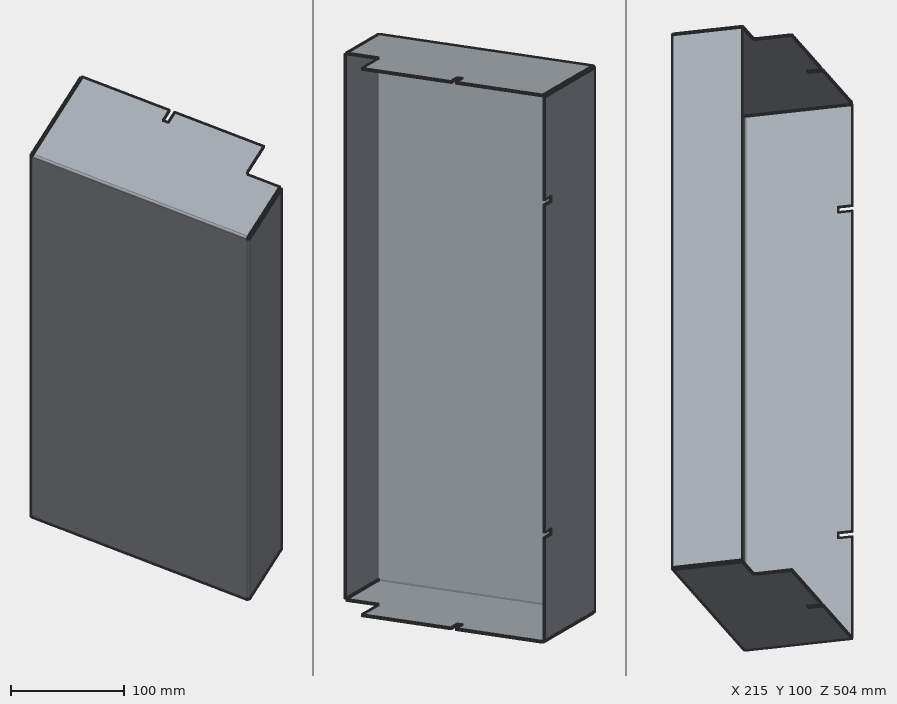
import cadquery as cq

width = 215.0
depth = 100.0
height = 504.0

thickness = 1.5
bend_radius = 2.0
inner_bend_radius = bend_radius - thickness
corner_setback = bend_radius

step_width = 35.0
step_depth = 35.0
step_corner_radius = 3.0

slot_width = 5.0
slot_depth = 13.0
end_slot_x = 90.0
side_slot_spacing = 306.0


def tray(span, length):
    """U-shaped tray along Z: a front panel with a rounded bend and a rear-facing wall on each side."""
    outer = cq.Workplane("XY").box(span, depth, length, centered=(True, False, True))
    outer = outer.edges("|Z and <Y").fillet(bend_radius)
    inner_span = span - 2 * thickness
    inner = cq.Workplane("XY").box(inner_span, depth - thickness, length, centered=(True, False, True))
    inner = inner.edges("|Z and <Y").fillet(inner_bend_radius)
    return outer.cut(inner.translate((0, thickness, 0)))


def folded_cover():
    """Front panel with left, right, top and bottom flanges that leave the corners open."""
    sides = tray(width, height - 2 * corner_setback)
    ends = tray(height, width - 2 * corner_setback).rotate((0, 0, 0), (0, 1, 0), 90)
    return sides.union(ends).translate((width / 2, 0, height / 2))


def step_cutter():
    """Full-height block for the back right step, its inner corner rounded."""
    block = cq.Workplane("XY").box(step_width, step_depth, height, centered=False)
    block = block.edges("|Z and <X and <Y").fillet(step_corner_radius)
    return block.translate((width - step_width, depth - step_depth, 0))


def end_slot_cutter():
    """Full-height cutter for the slots in the top and bottom flanges."""
    cutter = cq.Workplane("XY").box(slot_width, slot_depth, height, centered=(True, False, False))
    return cutter.translate((end_slot_x, depth - slot_depth, 0))


def side_slot_cutter(z):
    """Cutter through the left flange at height z."""
    cutter = cq.Workplane("XY").box(thickness, slot_depth, slot_width, centered=(False, False, True))
    return cutter.translate((0, depth - slot_depth, z))


result = folded_cover().cut(step_cutter()).cut(end_slot_cutter())
for direction in (-1, 1):
    slot_z = height / 2 + direction * side_slot_spacing / 2
    result = result.cut(side_slot_cutter(slot_z))